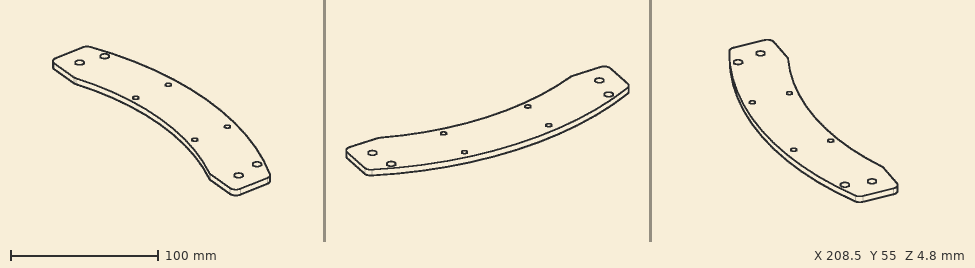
import cadquery as cq
import math

length = 208.5
width = 55.0
thickness = 4.8
corner_radius = 5.0

band_width = 39.8
inner_radius = 198.7
outer_radius = inner_radius + band_width

small_hole_diameter = 4.0
small_hole_spacing = 66.7
small_hole_offset = 2.3
small_hole_heights = (18.0, 45.7)
large_hole_diameter = 6.0
large_hole_places = ((89.9, 14.4), (86.1, 33.0))

half_length = length / 2
top_y = width / 2
bottom_y = -top_y
arc_center_y = top_y - outer_radius


def arc_y(radius, x):
    """Height of a concentric edge at a distance x from the centre line."""
    return arc_center_y + math.sqrt(radius**2 - x**2)


def make_plate():
    shoulder_y = arc_y(outer_radius, half_length)
    inner_end_x = math.sqrt(inner_radius**2 - (bottom_y - arc_center_y) ** 2)
    plate = (
        cq.Workplane("XY")
        .moveTo(-half_length, bottom_y)
        .lineTo(-half_length, shoulder_y)
        .threePointArc((0, top_y), (half_length, shoulder_y))
        .lineTo(half_length, bottom_y)
        .lineTo(inner_end_x, bottom_y)
        .threePointArc((0, arc_center_y + inner_radius), (-inner_end_x, bottom_y))
        .close()
        .extrude(thickness)
    )
    return plate.edges("|Z").fillet(corner_radius)


def hole_pair(spacing, height, diameter, offset=0):
    """Two through holes at one height, with their midpoint at x = offset."""
    y = bottom_y + height
    places = [(offset - spacing / 2, y), (offset + spacing / 2, y)]
    return cq.Workplane("XY").pushPoints(places).circle(diameter / 2).extrude(thickness)


result = make_plate()
for height in small_hole_heights:
    result = result.cut(hole_pair(small_hole_spacing, height, small_hole_diameter, small_hole_offset))
for x, height in large_hole_places:
    result = result.cut(hole_pair(2 * x, height, large_hole_diameter))